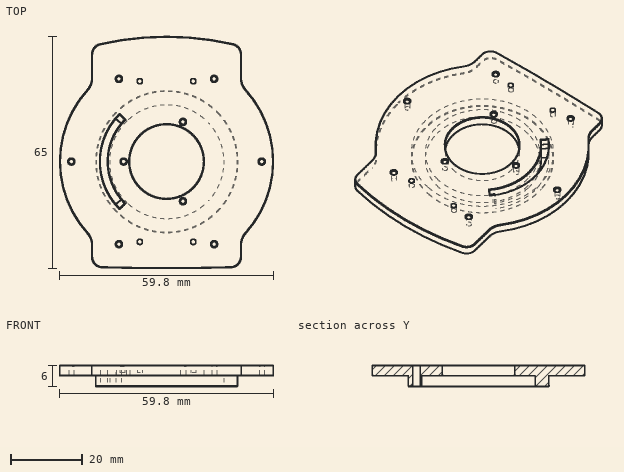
import cadquery as cq
import math

thickness = 3.0
disc_radius = 29.915
body_half_width = 20.9
top_reach = 35.0
top_edge_radius = 83.15
bottom_reach = 29.95
bottom_edge_radius = 584.65
corner_radius = 3.0
neck_radius = 5.0
edge_chamfer = 0.2

hub_height = 3.0
hub_diameter = 39.8
hub_inner_diameter = 31.95
bore_diameter = 20.7

slot_inner_radius = 16.55
slot_outer_radius = 18.6
slot_half_angle = 45.0
slot_through_half_angle = 40.0
slot_step_depth = 2.0

screw_diameter = 1.4
countersink_diameter = 1.95
countersink_angle = 90.0
side_screw_x = 26.65
corner_screw_x = 13.3
corner_screw_y = 23.1
inner_screw_radius = 12.0
inner_screw_angles = (67.5, 180.0, 292.5)

pin_diameter = 1.5
pin_depth = 1.95
pin_x = 7.5
pin_y = 22.5


def arc_height(reach, radius, x):
    """Height at x of an arc whose highest point is (0, reach)."""
    return reach - radius + math.sqrt(radius**2 - x**2)


def polar(radius, angle):
    """Point at an angle in degrees, counted from the +X axis."""
    turn = math.radians(angle)
    return (radius * math.cos(turn), radius * math.sin(turn))


def four_corners(x, y):
    """The point (x, y) mirrored into all four quadrants."""
    return [(side * x, end * y) for side in (-1, 1) for end in (-1, 1)]


def cylinder(diameter, height):
    return cq.Workplane("XY").circle(diameter / 2).extrude(height)


def make_plate():
    top_corner = arc_height(top_reach, top_edge_radius, body_half_width)
    bottom_corner = arc_height(bottom_reach, bottom_edge_radius, body_half_width)
    body = (
        cq.Workplane("XY")
        .moveTo(-body_half_width, -bottom_corner)
        .threePointArc((0, -bottom_reach), (body_half_width, -bottom_corner))
        .lineTo(body_half_width, top_corner)
        .threePointArc((0, top_reach), (-body_half_width, top_corner))
        .close()
        .extrude(thickness)
        .edges("|Z")
        .fillet(corner_radius)
    )
    plate = body.union(cylinder(2 * disc_radius, thickness))

    neck_y = math.sqrt(disc_radius**2 - body_half_width**2)
    margin = 0.65
    neck_area = cq.selectors.BoxSelector(
        (-body_half_width - margin, -neck_y - margin, 0),
        (body_half_width + margin, neck_y + margin, thickness),
    )
    plate = plate.edges("|Z").edges(neck_area).fillet(neck_radius)
    return plate.faces("<Z or >Z").chamfer(edge_chamfer)


def make_hub():
    hub = cylinder(hub_diameter, -hub_height).faces("<Z").chamfer(edge_chamfer)
    return hub.cut(cylinder(hub_inner_diameter, -hub_height))


def slot_sector(half_angle, depth):
    """Ring sector centred on the -X axis, reaching down from the top of the plate."""
    first_angle = 180 - half_angle
    last_angle = 180 + half_angle
    return (
        cq.Workplane("XY", origin=(0, 0, thickness))
        .moveTo(*polar(slot_inner_radius, first_angle))
        .lineTo(*polar(slot_outer_radius, first_angle))
        .threePointArc(polar(slot_outer_radius, 180), polar(slot_outer_radius, last_angle))
        .lineTo(*polar(slot_inner_radius, last_angle))
        .threePointArc(polar(slot_inner_radius, 180), polar(slot_inner_radius, first_angle))
        .close()
        .extrude(-depth)
    )


def chamfer_top_rims(plate):
    """Chamfer the bore and slot rims, the only top edges near the middle of the plate."""
    margin = 0.05
    rim_area = cq.selectors.BoxSelector(
        (-slot_outer_radius - margin, -slot_outer_radius, thickness - margin),
        (bore_diameter / 2, slot_outer_radius, thickness + margin),
    )
    return plate.edges(rim_area).chamfer(edge_chamfer)


plate = make_plate().cut(cylinder(bore_diameter, thickness))
plate = plate.cut(slot_sector(slot_half_angle, slot_step_depth))
plate = chamfer_top_rims(plate)
result = plate.union(make_hub())
result = result.cut(slot_sector(slot_through_half_angle, thickness + hub_height))

screw_points = [polar(inner_screw_radius, angle) for angle in inner_screw_angles]
screw_points += [(-side_screw_x, 0), (side_screw_x, 0)]
screw_points += four_corners(corner_screw_x, corner_screw_y)
result = (
    result.faces(">Z")
    .workplane(origin=(0, 0, thickness))
    .pushPoints(screw_points)
    .cskHole(screw_diameter, countersink_diameter, countersink_angle)
    .faces(">Z")
    .workplane(origin=(0, 0, thickness))
    .pushPoints(four_corners(pin_x, pin_y))
    .hole(pin_diameter, pin_depth)
)